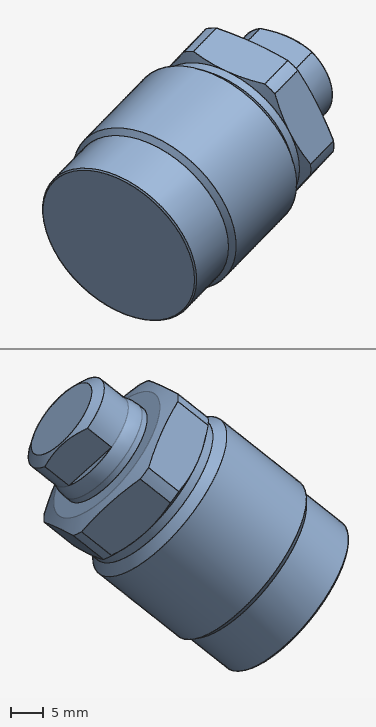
import cadquery as cq
import math

total_length = 47.0

nose_diameter = 28.3
nose_edge_chamfer = 0.25
sleeve_diameter = 30.0
nose_length = 9.0
sleeve_end = 26.45
neck_diameter = 27.0
hex_start = 29.45
hex_end = 37.5
hex_across_flats = neck_diameter
hex_corner_diameter = sleeve_diameter
hex_front_chamfer_angle = 30.0
hex_rear_chamfer_angle = 15.0
hex_rear_face_diameter = 23.7

collar_diameter = 18.0
collar_straight_end = 38.55
collar_end = 41.0
spindle_diameter = 17.0
spindle_across_flats = 14.1
spindle_tip_diameter = 13.55
spindle_tip_chamfer_length = 1.0


def revolve_about_y(profile):
    return profile.close().revolve(360, (0, 0, 0), (0, 1, 0))


def extrude_along_y(sketch, start, end):
    """Extrude an XY-plane outline and turn it so that it spans start to end along Y."""
    solid = sketch.extrude(end - start)
    return solid.rotate((0, 0, 0), (1, 0, 0), -90).translate((0, start, 0))


def make_sleeve():
    nose_radius = nose_diameter / 2
    sleeve_radius = sleeve_diameter / 2
    neck_radius = neck_diameter / 2
    front_shoulder_end = nose_length + sleeve_radius - nose_radius
    rear_shoulder_end = sleeve_end + sleeve_radius - neck_radius
    profile = (
        cq.Workplane("XY")
        .lineTo(nose_radius - nose_edge_chamfer, 0)
        .lineTo(nose_radius, nose_edge_chamfer)
        .lineTo(nose_radius, nose_length)
        .lineTo(sleeve_radius, front_shoulder_end)
        .lineTo(sleeve_radius, sleeve_end)
        .lineTo(neck_radius, rear_shoulder_end)
        .lineTo(neck_radius, hex_start)
        .lineTo(0, hex_start)
    )
    return revolve_about_y(profile)


def make_hexagon():
    sharp_corner_diameter = hex_across_flats / math.cos(math.radians(30))
    prism = extrude_along_y(
        cq.Workplane("XY").polygon(6, sharp_corner_diameter), hex_start, hex_end
    )
    corner_radius = hex_corner_diameter / 2
    front_radius = neck_diameter / 2
    rear_radius = hex_rear_face_diameter / 2
    front_chamfer = (corner_radius - front_radius) * math.tan(math.radians(hex_front_chamfer_angle))
    rear_chamfer = (corner_radius - rear_radius) * math.tan(math.radians(hex_rear_chamfer_angle))
    envelope = (
        cq.Workplane("XY")
        .moveTo(0, hex_start)
        .lineTo(front_radius, hex_start)
        .lineTo(corner_radius, hex_start + front_chamfer)
        .lineTo(corner_radius, hex_end - rear_chamfer)
        .lineTo(rear_radius, hex_end)
        .lineTo(0, hex_end)
    )
    return prism.intersect(revolve_about_y(envelope))


def make_housing():
    return make_sleeve().union(make_hexagon())


def make_spindle():
    spindle_radius = spindle_diameter / 2
    collar_radius = collar_diameter / 2
    profile = (
        cq.Workplane("XY")
        .moveTo(0, hex_end)
        .lineTo(collar_radius, hex_end)
        .lineTo(collar_radius, collar_straight_end)
        .tangentArcPoint((spindle_radius, collar_end), relative=False)
        .lineTo(spindle_radius, total_length - spindle_tip_chamfer_length)
        .lineTo(spindle_tip_diameter / 2, total_length)
        .lineTo(0, total_length)
    )
    spindle = revolve_about_y(profile)
    collar = extrude_along_y(
        cq.Workplane("XY").circle(collar_radius), hex_end, collar_end
    )
    flats = extrude_along_y(
        cq.Workplane("XY").rect(spindle_diameter, spindle_across_flats), collar_end, total_length
    )
    return spindle.intersect(collar.union(flats))


housing = make_housing()
spindle = make_spindle()

result = cq.Compound.makeCompound([housing.val(), spindle.val()])